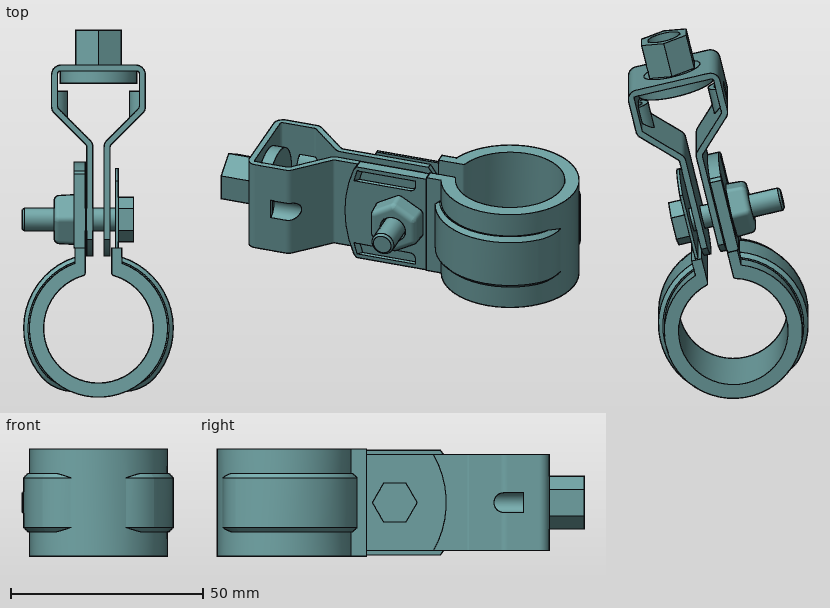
import cadquery as cq
import math


TOTAL_LENGTH = 95.6

BORE_RADIUS = 14.25
RING_RADIUS = 18.0
RING_WIDTH = 28.0
GAP_HALF = 3.4
LUG_OUTER = 6.1
LUG_TOP = 20.9
LUG_LIP_RADIUS = 0.7

BAND_RADIUS = 19.5
BAND_WIDTH = 15.2
BAND_CHAMFER = 1.1
BAND_ROOT_RADIUS = 16.3
BAND_TAPER_START = 222
BAND_TAPER_MID = 234.5
BAND_TAPER_MID_RADIUS = 19.0
BAND_TAPER_END = 246.5

BOLT_Y = 28.3
BOLT_DIAMETER = 6.0
BOLT_TIP_DIAMETER = 4.9
BOLT_TIP_X = -19.9
HEAD_HEIGHT = 4.0
HEAD_CORNERS = 11.7

SIDE_PLATE_THICKNESS = 3.0
SIDE_PLATE_OUTER_X = -GAP_HALF - SIDE_PLATE_THICKNESS
SIDE_PLATE_WIDTH = 27.4
SIDE_PLATE_TOP = 43.3
SIDE_PLATE_SHOULDER = 40.9
SIDE_PLATE_SHOULDER_HALF = 12.6
SIDE_PLATE_CORNER = 40.2
POCKET_DEPTH = 1.1
POCKET_RAMP = 1.1
POCKET_BOTTOM = 23.9
POCKET_INNER_TOP = 40.8
POCKET_OUTER_TOP = 40.0
POCKET_INNER_Z = 9.4
POCKET_OUTER_Z = 12.5
POCKET_CORNER_RADIUS = 1.4
NUT_FLATS = 13.0
NUT_HEIGHT = 5.2
NUT_DRAFT = 3
NUT_EDGE_RADIUS = 1.4
NUT_HOLE_DIAMETER = 7.0

WASHER_PLATE_X = 4.4
WASHER_PLATE_THICKNESS = 0.8
WASHER_PLATE_TOP = 41.7
WASHER_PLATE_SHOULDER = 38.35

SHEET = 1.6
BRACKET_WIDTH = 25.1
BRACKET_HALF = 12.2
BRACKET_TOP = 68.6
SHOULDER_Y = 56.7
LEG_OUTER = 3.1
LEG_END = 18.7
LEG_END_CORNER = 23.05
BEND_RADIUS = 0.8
TOP_BEND_INNER_RADIUS = 0.6
TOP_BEND_OUTER_RADIUS = 2.6
DENT_RADIUS = 4.2
DENT_TOP = 61.8

SWIVEL_TOP = TOTAL_LENGTH - RING_RADIUS
SWIVEL_FLATS = 12.0
SWIVEL_NECK_DIAMETER = 15.0
SWIVEL_FLANGE_DIAMETER = 20.0
SWIVEL_FLANGE_THICKNESS = 3.2
SWIVEL_BORE_DIAMETER = 8.5


def polar(radius, degrees):
    angle = math.radians(degrees)
    return (radius * math.cos(angle), radius * math.sin(angle))


def rod_x(diameter, x_start, x_end):
    """Round bar on the bolt axis."""
    return (
        cq.Workplane("YZ", origin=(x_start, BOLT_Y, 0))
        .circle(diameter / 2)
        .extrude(x_end - x_start)
    )


def rod_y(diameter, y_top, length):
    """Round bar on the swivel axis, running down from y_top."""
    return cq.Workplane("XZ", origin=(0, y_top, 0)).circle(diameter / 2).extrude(length)


def corner_diameter(across_flats):
    return across_flats / math.cos(math.pi / 6)


def nearest(x, y, z=0):
    return cq.NearestToPointSelector((x, y, z))


def nearest_pair(x, y):
    """Select the mirror-image features closest to (-x, y) and (x, y)."""
    return nearest(-x, y) + nearest(x, y)


def slab_z(outline, width):
    """Extrude a closed XY outline, centred on Z = 0."""
    return outline.extrude(width / 2, both=True)


def mirrored_pair(solid):
    return solid.union(solid.mirror("YZ"))


def make_band():
    """Left band: concentric with the ring, then tapering down to its surface."""
    lug_point = (-LUG_OUTER, math.sqrt(BAND_RADIUS**2 - LUG_OUTER**2))
    root_start = (-LUG_OUTER, math.sqrt(BAND_ROOT_RADIUS**2 - LUG_OUTER**2))
    outline = (
        cq.Workplane("XY")
        .moveTo(*lug_point)
        .threePointArc((-BAND_RADIUS, 0), polar(BAND_RADIUS, BAND_TAPER_START))
        .threePointArc(
            polar(BAND_TAPER_MID_RADIUS, BAND_TAPER_MID),
            polar(RING_RADIUS, BAND_TAPER_END),
        )
        .lineTo(*polar(BAND_ROOT_RADIUS, BAND_TAPER_END))
        .threePointArc((-BAND_ROOT_RADIUS, 0), root_start)
        .close()
    )
    band = slab_z(outline, BAND_WIDTH)
    taper_middle = polar(BAND_TAPER_MID_RADIUS, BAND_TAPER_MID)
    for face in ("<Z", ">Z"):
        z = band.faces(face).val().Center().z
        main_rim = nearest(-BAND_RADIUS, 0, z)
        taper_rim = nearest(*taper_middle, z)
        band = band.edges(main_rim + taper_rim).chamfer(BAND_CHAMFER)
    return band


def make_ring():
    ring = slab_z(cq.Workplane("XY").circle(RING_RADIUS), RING_WIDTH)
    lugs = slab_z(
        cq.Workplane("XY").center(0, LUG_TOP / 2).rect(2 * LUG_OUTER, LUG_TOP), RING_WIDTH
    )
    gap = slab_z(cq.Workplane("XY").center(0, LUG_TOP / 2).rect(2 * GAP_HALF, LUG_TOP), RING_WIDTH)
    bore = slab_z(cq.Workplane("XY").circle(BORE_RADIUS), RING_WIDTH)
    ring = ring.union(lugs).union(mirrored_pair(make_band())).cut(gap).cut(bore)
    lip_y = math.sqrt(BORE_RADIUS**2 - GAP_HALF**2)
    return ring.edges("|Z").edges(nearest_pair(GAP_HALF, lip_y)).fillet(LUG_LIP_RADIUS)


def pocket_outline(x, top_shift, side):
    """Pocket outline in a plane across X, its slanted upper end lowered by top_shift."""
    return (
        cq.Workplane("YZ", origin=(x, 0, 0))
        .moveTo(POCKET_BOTTOM, side * POCKET_OUTER_Z)
        .lineTo(POCKET_OUTER_TOP - top_shift, side * POCKET_OUTER_Z)
        .lineTo(POCKET_INNER_TOP - top_shift, side * POCKET_INNER_Z)
        .lineTo(POCKET_BOTTOM + POCKET_CORNER_RADIUS, side * POCKET_INNER_Z)
        .radiusArc(
            (POCKET_BOTTOM, side * (POCKET_INNER_Z + POCKET_CORNER_RADIUS)),
            side * POCKET_CORNER_RADIUS,
        )
        .close()
        .val()
    )


def make_pocket(side):
    mouth = pocket_outline(SIDE_PLATE_OUTER_X, 0, side)
    floor = pocket_outline(SIDE_PLATE_OUTER_X + POCKET_DEPTH, POCKET_RAMP, side)
    return cq.Workplane(cq.Solid.makeLoft([mouth, floor], True))


def make_side_plate():
    half = SIDE_PLATE_WIDTH / 2
    plate = (
        cq.Workplane("YZ", origin=(SIDE_PLATE_OUTER_X, 0, 0))
        .moveTo(LUG_TOP, -half)
        .lineTo(SIDE_PLATE_CORNER, -half)
        .lineTo(SIDE_PLATE_SHOULDER, -SIDE_PLATE_SHOULDER_HALF)
        .threePointArc((SIDE_PLATE_TOP, 0), (SIDE_PLATE_SHOULDER, SIDE_PLATE_SHOULDER_HALF))
        .lineTo(SIDE_PLATE_CORNER, half)
        .lineTo(LUG_TOP, half)
        .close()
        .extrude(SIDE_PLATE_THICKNESS)
    )
    for side in (-1, 1):
        plate = plate.cut(make_pocket(side))
    return plate.cut(rod_x(BOLT_DIAMETER, SIDE_PLATE_OUTER_X, -GAP_HALF))


def make_nut():
    """Drafted hexagon with rounded edges and a clearance hole, corners up and down."""
    nut = (
        cq.Workplane("YZ", origin=(SIDE_PLATE_OUTER_X, BOLT_Y, 0))
        .transformed(rotate=(0, 0, 90))
        .polygon(6, corner_diameter(NUT_FLATS))
        .extrude(-NUT_HEIGHT, taper=NUT_DRAFT)
    )
    nut = nut.edges("not #X").fillet(NUT_EDGE_RADIUS)
    nut = nut.faces("<X").edges().fillet(NUT_EDGE_RADIUS)
    return nut.cut(rod_x(NUT_HOLE_DIAMETER, SIDE_PLATE_OUTER_X - NUT_HEIGHT, SIDE_PLATE_OUTER_X))


def make_washer_plate():
    half = BRACKET_WIDTH / 2
    plate = (
        cq.Workplane("YZ", origin=(WASHER_PLATE_X, 0, 0))
        .moveTo(LUG_TOP, -half)
        .lineTo(WASHER_PLATE_SHOULDER, -half)
        .threePointArc((WASHER_PLATE_TOP, 0), (WASHER_PLATE_SHOULDER, half))
        .lineTo(LUG_TOP, half)
        .close()
        .extrude(WASHER_PLATE_THICKNESS)
    )
    return plate.cut(rod_x(BOLT_DIAMETER, WASHER_PLATE_X, WASHER_PLATE_X + WASHER_PLATE_THICKNESS))


def make_bolt():
    head_x = WASHER_PLATE_X + WASHER_PLATE_THICKNESS
    tip_chamfer = (BOLT_DIAMETER - BOLT_TIP_DIAMETER) / 2
    shank = rod_x(BOLT_DIAMETER, BOLT_TIP_X, head_x).faces("<X").chamfer(tip_chamfer)
    head = (
        cq.Workplane("YZ", origin=(head_x, BOLT_Y, 0))
        .polygon(6, HEAD_CORNERS)
        .extrude(HEAD_HEIGHT)
    )
    return shank.union(head)


def bracket_outline(inset, top_radius):
    """Solid silhouette of the bracket, shrunk by inset; its shoulders slope at 45 degrees."""
    half = BRACKET_HALF - inset
    leg = LEG_OUTER - inset
    shoulder = SHOULDER_Y + inset * math.tan(math.pi / 8)
    waist = shoulder - (half - leg)
    top = BRACKET_TOP - inset
    points = [
        (-leg, LEG_END), (-leg, waist), (-half, shoulder), (-half, top),
        (half, top), (half, shoulder), (leg, waist), (leg, LEG_END),
    ]
    body = slab_z(cq.Workplane("XY").polyline(points).close(), BRACKET_WIDTH)
    outward_bend = BEND_RADIUS + SHEET - inset
    inward_bend = BEND_RADIUS + inset
    body = body.edges("|Z").edges(nearest_pair(half, top)).fillet(top_radius)
    body = body.edges("|Z").edges(nearest_pair(half, shoulder)).fillet(outward_bend)
    return body.edges("|Z").edges(nearest_pair(leg, waist)).fillet(inward_bend)


def dent_cylinder(x, radius):
    """Cylinder along Y on a bracket side wall, ending clear of the sloping shoulder."""
    return (
        cq.Workplane("XZ", origin=(x, DENT_TOP, 0))
        .circle(radius)
        .extrude(DENT_TOP - SHOULDER_Y + DENT_RADIUS)
    )


def make_bracket():
    silhouette = bracket_outline(0, TOP_BEND_OUTER_RADIUS)
    bracket = silhouette.cut(bracket_outline(SHEET, TOP_BEND_INNER_RADIUS))
    for x in (-BRACKET_HALF, BRACKET_HALF):
        bracket = bracket.union(dent_cylinder(x, DENT_RADIUS).intersect(silhouette))
        bracket = bracket.cut(dent_cylinder(x, DENT_RADIUS - SHEET))
    half = BRACKET_WIDTH / 2
    rounded_ends = (
        cq.Workplane("YZ", origin=(-BRACKET_HALF, 0, 0))
        .moveTo(BRACKET_TOP, -half)
        .lineTo(LEG_END_CORNER, -half)
        .threePointArc((LEG_END, 0), (LEG_END_CORNER, half))
        .lineTo(BRACKET_TOP, half)
        .close()
        .extrude(2 * BRACKET_HALF)
    )
    neck_hole = rod_y(SWIVEL_NECK_DIAMETER, BRACKET_TOP, SHEET)
    bolt_holes = rod_x(BOLT_DIAMETER, -LEG_OUTER, LEG_OUTER)
    return bracket.intersect(rounded_ends).cut(neck_hole).cut(bolt_holes)


def make_swivel_nut():
    """Hexagon above the bracket, neck through it and round flange under it."""
    hexagon = (
        cq.Workplane("XZ", origin=(0, SWIVEL_TOP, 0))
        .transformed(rotate=(0, 0, 90))
        .polygon(6, corner_diameter(SWIVEL_FLATS))
        .extrude(SWIVEL_TOP - BRACKET_TOP)
    )
    neck = rod_y(SWIVEL_NECK_DIAMETER, BRACKET_TOP, SHEET)
    flange = rod_y(SWIVEL_FLANGE_DIAMETER, BRACKET_TOP - SHEET, SWIVEL_FLANGE_THICKNESS)
    nut_length = SWIVEL_TOP - BRACKET_TOP + SHEET + SWIVEL_FLANGE_THICKNESS
    bore = rod_y(SWIVEL_BORE_DIAMETER, SWIVEL_TOP, nut_length)
    return hexagon.union(neck).union(flange).cut(bore)


clamp_ring = make_ring()
side_plate = make_side_plate()
nut = make_nut()
washer_plate = make_washer_plate()
bolt = make_bolt()
bracket = make_bracket()
swivel_nut = make_swivel_nut()

result = cq.Compound.makeCompound([
    clamp_ring.val(),
    side_plate.val(),
    nut.val(),
    washer_plate.val(),
    bolt.val(),
    bracket.val(),
    swivel_nut.val(),
])